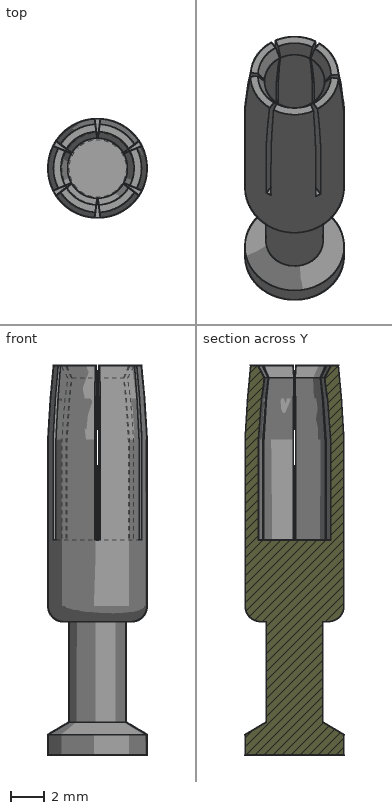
import cadquery as cq
import math

length = 23.5
body_diameter = 6.0
body_radius = body_diameter / 2

rim_height = 1.25
shoulder_top = 2.0
neck_diameter = 3.45
neck_radius = neck_diameter / 2

body_bottom = 8.04
bottom_fillet = 0.96
taper_start = 19.04
taper_break = 21.5
break_radius = 2.85
tip_radius = 2.65

mouth_radius = 2.2
throat_radius = 1.8
lead_in_depth = 0.75
break_bore_radius = 1.97
bore_radius = 2.16
bore_floor = 12.97

slot_count = 6
slot_floor = bore_floor
slot_width = 0.33
slot_apex_radius = 1.75
slot_lean = 0.16
lean_start = 15.63
slot_overrun = 0.24


def turned_blank():
    """Solid of revolution: flange, neck and rounded, tapered body."""
    arc_inset = bottom_fillet * (1 - math.sqrt(0.5))
    outline = (
        cq.Workplane("XZ")
        .lineTo(body_radius, 0)
        .lineTo(body_radius, rim_height)
        .lineTo(neck_radius, shoulder_top)
        .lineTo(neck_radius, body_bottom)
        .lineTo(body_radius - bottom_fillet, body_bottom)
        .threePointArc(
            (body_radius - arc_inset, body_bottom + arc_inset),
            (body_radius, body_bottom + bottom_fillet),
        )
        .lineTo(body_radius, taper_start)
        .lineTo(break_radius, taper_break)
        .lineTo(tip_radius, length)
        .lineTo(0, length)
        .close()
    )
    return outline.revolve(360, (0, 0, 0), (0, 1, 0))


def bore():
    """Blind bore with a throat below the conical mouth."""
    outline = (
        cq.Workplane("XZ")
        .moveTo(0, bore_floor)
        .lineTo(bore_radius, bore_floor)
        .lineTo(bore_radius, taper_start)
        .lineTo(break_bore_radius, taper_break)
        .lineTo(throat_radius, length - lead_in_depth)
        .lineTo(mouth_radius, length)
        .lineTo(0, length)
        .close()
    )
    return outline.revolve(360, (0, 0, 0), (0, 1, 0))


def slot_section(height, shift):
    """V-shaped slot outline at a height, with its apex moved inwards by shift."""
    flare = slot_width / (body_radius - slot_apex_radius)
    apex = slot_apex_radius - shift
    outer_end = body_radius + slot_overrun
    half_width = flare * (outer_end - apex) / 2
    return (
        cq.Workplane("XY")
        .workplane(offset=height)
        .polyline([(0, apex), (half_width, outer_end), (-half_width, outer_end)])
        .close()
    )


def slot(angle):
    """Upright slot low in the wall, continued by a leaning one up to the tip."""
    upright = slot_section(slot_floor, 0).extrude(lean_start - slot_floor)
    foot = slot_section(lean_start, 0).wires().val()
    tip = slot_section(length, slot_lean).wires().val()
    leaning = cq.Workplane(cq.Solid.makeLoft([foot, tip], True))
    return upright.union(leaning).rotate((0, 0, 0), (0, 0, 1), angle)


result = turned_blank().cut(bore())
for i in range(slot_count):
    result = result.cut(slot(i * 360 / slot_count))